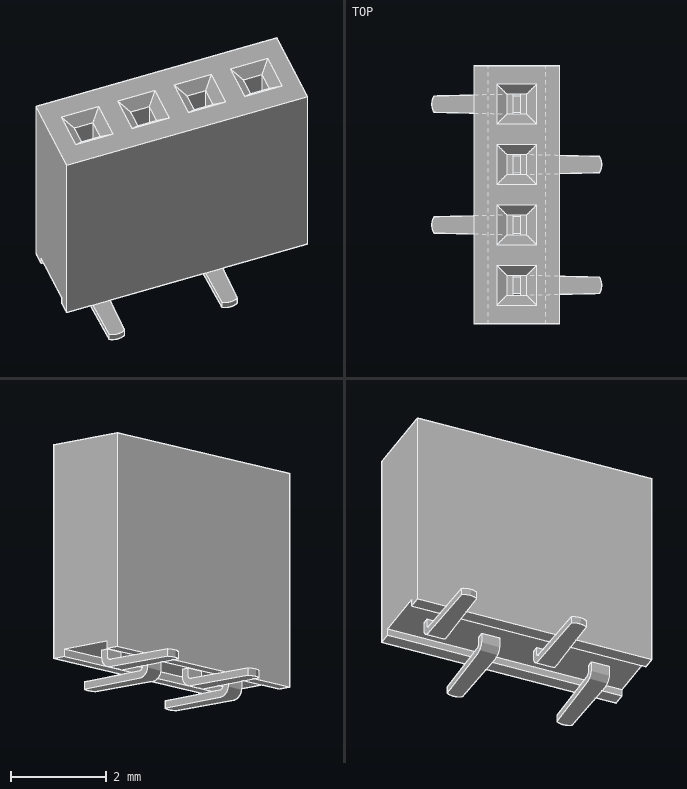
import cadquery as cq
import math

PIN_COUNT = 4
PITCH = 1.27
HOUSING_WIDTH = 1.8
HOUSING_LENGTH = 5.43
TOTAL_HEIGHT = 4.83
STANDOFF = 0.23
CHANNEL_WIDTH = 1.2
CHANNEL_DEPTH = 0.16

SOCKET_SIZE = 0.42
LEAD_IN = 0.21
SOCKET_DEPTH = 2.5

CONTACT_THICKNESS = 0.16
CONTACT_WIDTH = 0.42
TIP_WIDTH = 0.35
LEG_SPAN = 3.58
LEG_END_BULGE = 0.05
BEND_INNER_RADIUS = 0.07
BLADE_HEIGHT = 0.3

SOCKET_FLOOR = TOTAL_HEIGHT - SOCKET_DEPTH
BLADE_TOP = SOCKET_FLOOR + BLADE_HEIGHT


def make_housing():
    """Box with a channel running along the whole underside."""
    housing = (
        cq.Workplane("XY")
        .workplane(offset=STANDOFF)
        .rect(HOUSING_WIDTH, HOUSING_LENGTH)
        .extrude(TOTAL_HEIGHT - STANDOFF)
    )
    channel = (
        cq.Workplane("XY")
        .workplane(offset=STANDOFF)
        .rect(CHANNEL_WIDTH, HOUSING_LENGTH)
        .extrude(CHANNEL_DEPTH)
    )
    return housing.cut(channel)


def make_socket(y):
    """Square blind hole with a 45 degree pyramidal lead-in, as a cutting body."""
    mouth_size = SOCKET_SIZE + 2 * LEAD_IN
    top = cq.Workplane("XY", origin=(0, y, TOTAL_HEIGHT))
    hole = top.rect(SOCKET_SIZE, SOCKET_SIZE).extrude(-SOCKET_DEPTH)
    lead_in = (
        top.rect(mouth_size, mouth_size)
        .workplane(offset=-LEAD_IN)
        .rect(SOCKET_SIZE, SOCKET_SIZE)
        .loft(ruled=True)
    )
    return hole.union(lead_in)


def make_contact(y, side):
    """Upright blade bent into a flat solder leg; side is -1 or +1 along X."""
    half_thickness = CONTACT_THICKNESS / 2
    half_width = CONTACT_WIDTH / 2
    half_tip = TIP_WIDTH / 2
    leg_end = LEG_SPAN / 2
    bend_outer_radius = BEND_INNER_RADIUS + CONTACT_THICKNESS
    bend_x = half_thickness + BEND_INNER_RADIUS
    bend_z = bend_outer_radius
    outer_offset = bend_outer_radius * math.cos(math.pi / 4)
    inner_offset = BEND_INNER_RADIUS * math.cos(math.pi / 4)

    strip = (
        cq.Workplane("XZ")
        .moveTo(leg_end, 0)
        .lineTo(bend_x, 0)
        .threePointArc(
            (bend_x - outer_offset, bend_z - outer_offset),
            (-half_thickness, bend_z),
        )
        .lineTo(-half_thickness, BLADE_TOP)
        .lineTo(half_thickness, BLADE_TOP)
        .lineTo(half_thickness, bend_z)
        .threePointArc(
            (bend_x - inner_offset, bend_z - inner_offset),
            (bend_x, CONTACT_THICKNESS),
        )
        .lineTo(leg_end, CONTACT_THICKNESS)
        .close()
        .extrude(half_width, both=True)
    )

    leg_outline = (
        cq.Workplane("XY")
        .moveTo(-half_thickness, -half_width)
        .lineTo(bend_x, -half_width)
        .lineTo(leg_end - LEG_END_BULGE, -half_tip)
        .threePointArc((leg_end, 0), (leg_end - LEG_END_BULGE, half_tip))
        .lineTo(bend_x, half_width)
        .lineTo(-half_thickness, half_width)
        .close()
        .extrude(BLADE_TOP)
    )

    blade_outline = (
        cq.Workplane("YZ")
        .polyline([
            (-half_width, 0),
            (half_width, 0),
            (half_width, SOCKET_FLOOR),
            (half_tip, BLADE_TOP),
            (-half_tip, BLADE_TOP),
            (-half_width, SOCKET_FLOOR),
        ])
        .close()
        .extrude(leg_end, both=True)
    )

    contact = strip.intersect(leg_outline).intersect(blade_outline)
    if side < 0:
        contact = contact.rotate((0, 0, 0), (0, 0, 1), 180)
    return contact.translate((0, y, 0))


result = make_housing()
first_y = -PITCH * (PIN_COUNT - 1) / 2
for index in range(PIN_COUNT):
    pin_y = first_y + index * PITCH
    leg_side = 1 if index % 2 == 0 else -1
    result = result.cut(make_socket(pin_y))
    result = result.union(make_contact(pin_y, leg_side))